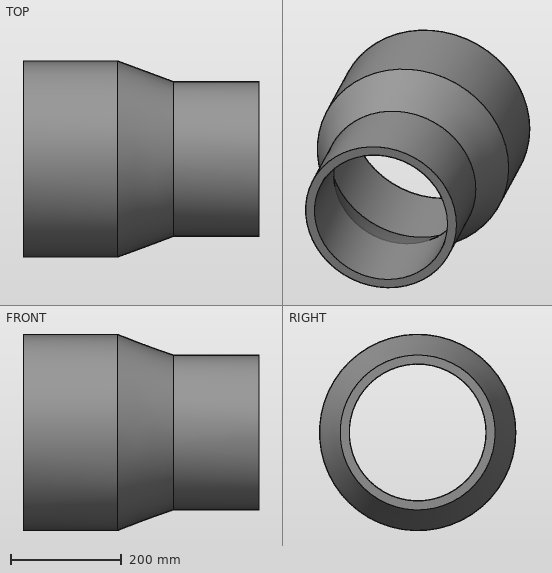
import cadquery as cq

total_length = 426.0
wide_length = 170.0
taper_length = 101.0
wide_outer_radius = 355.0 / 2
wide_bore_radius = 312.5 / 2
narrow_outer_radius = 280.0 / 2
narrow_bore_radius = 246.5 / 2

wide_end = -total_length / 2
taper_start = wide_end + wide_length
taper_end = taper_start + taper_length
narrow_end = total_length / 2


def reducer_body(wide_radius, narrow_radius):
    """Solid of revolution: wide cylinder, cone, narrow cylinder."""
    half_profile = (
        cq.Workplane("XY")
        .moveTo(wide_end, 0)
        .lineTo(wide_end, wide_radius)
        .lineTo(taper_start, wide_radius)
        .lineTo(taper_end, narrow_radius)
        .lineTo(narrow_end, narrow_radius)
        .lineTo(narrow_end, 0)
        .close()
    )
    return half_profile.revolve(360, (0, 0, 0), (1, 0, 0))


outer_body = reducer_body(wide_outer_radius, narrow_outer_radius)
bore = reducer_body(wide_bore_radius, narrow_bore_radius)
result = outer_body.cut(bore)